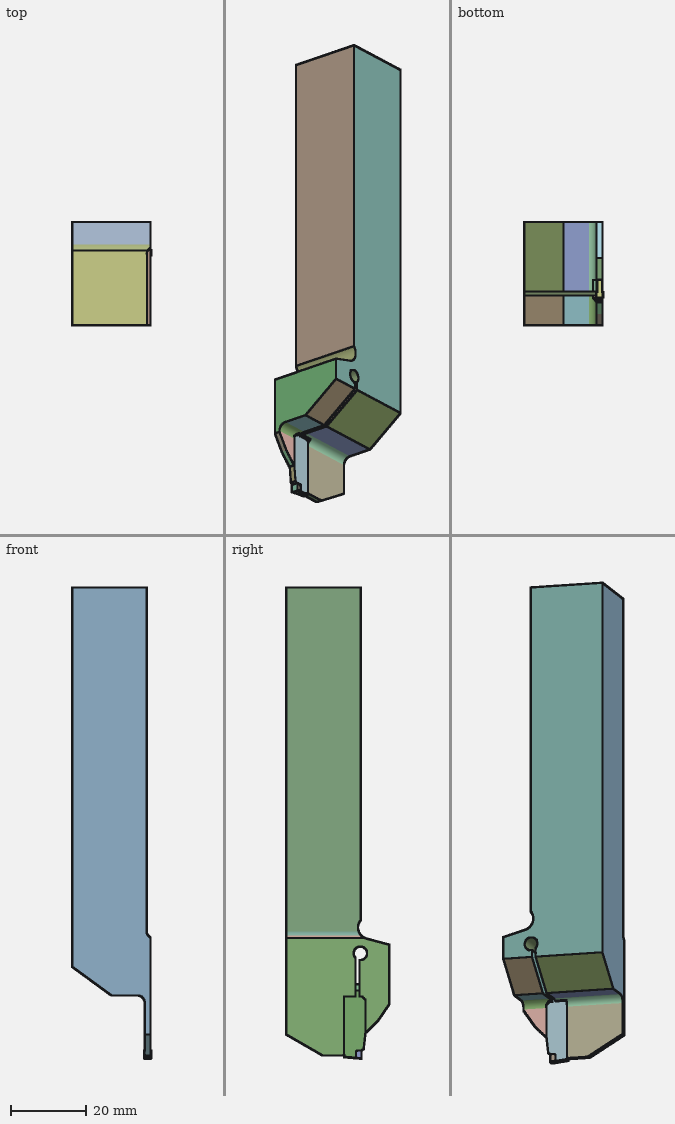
import cadquery as cq
import math

OVERALL_HEIGHT = 125.0
SHANK_SIZE = 19.8
HEAD_DEPTH = 27.4

TIP_WIDTH = 2.0
INSERT_WIDTH = 1.6
TAIL_NECK_WIDTH = 1.2
TIP_OVERHANG = (TIP_WIDTH - INSERT_WIDTH) / 2

BLADE_RIGHT = 20.84
BLADE_LEFT = BLADE_RIGHT - INSERT_WIDTH
BLADE_CENTER = BLADE_RIGHT - INSERT_WIDTH / 2
BLADE_BOTTOM = 0.9
BLADE_ROOT_RADIUS = 2.0

STEP_BOTTOM = 32.1
STEP_RADIUS = 1.5
HEAD_BOTTOM = 16.8
HEAD_SLOPE_TOP = 24.4
HEAD_SLOPE_WIDTH = 10.4

NOTCH_RADIUS = 3.0
NOTCH_UNDERCUT = 0.7
JAW_SLOPE = math.radians(15)
JAW_TOP = 30.3
JAW_BOTTOM = 14.5
JAW_KINK_Y = 24.4
JAW_KINK_Z = 10.1
HEEL_HEIGHT = 6.45
HEEL_SLOPE = math.radians(30)

RELIEF_HOLE_DIAMETER = 3.5
RELIEF_HOLE_Y = 19.7
RELIEF_HOLE_Z = 28.0
SLIT_WIDTH = 1.0
SLIT_CENTER_Y = 18.95

INSERT_FRONT = 15.4
INSERT_BACK = 21.1
INSERT_TOP = 16.5
INSERT_TOP_CHAMFER = 0.9
TAIL_TOP = 19.8
TAIL_NECK_BOTTOM = 18.2
RAKE_TOP = 7.0
RAKE_LEAN = 0.5
LEDGE_HEIGHT = 2.6
LEDGE_DROP = 0.4
TIP_Y = 20.0
TIP_FRONT = 18.5
TIP_CORNER_RADIUS = 0.5
CLEARANCE = math.radians(5)
BOTTOM_CHAMFER = 0.2

SIN_45 = math.sqrt(0.5)

SLIT_FRONT = SLIT_CENTER_Y - SLIT_WIDTH / 2
SLIT_BACK = SLIT_CENTER_Y + SLIT_WIDTH / 2


def extrude_along_x(sketch, left, right):
    """Extrude a closed outline drawn on the YZ plane from X = left to X = right."""
    return sketch.extrude(right - left).translate((left, 0, 0))


def width_profile():
    """Holder seen along Y: shank, head slope and blade."""
    blend_center_x = SHANK_SIZE + STEP_RADIUS
    blend_end_x = blend_center_x - STEP_RADIUS * SIN_45
    blend_end_z = STEP_BOTTOM + BLADE_RIGHT - blend_end_x
    blend_top = blend_end_z + STEP_RADIUS * SIN_45
    blend_half_angle = math.radians(45) / 2
    blend_middle = (
        blend_center_x - STEP_RADIUS * math.cos(blend_half_angle),
        blend_top - STEP_RADIUS * math.sin(blend_half_angle),
    )
    root_left = BLADE_LEFT - BLADE_ROOT_RADIUS
    root_bottom = HEAD_BOTTOM - BLADE_ROOT_RADIUS
    diagonal = BLADE_ROOT_RADIUS * SIN_45
    outline = (
        cq.Workplane("XZ")
        .moveTo(0, OVERALL_HEIGHT)
        .lineTo(SHANK_SIZE, OVERALL_HEIGHT)
        .lineTo(SHANK_SIZE, blend_top)
        .threePointArc(blend_middle, (blend_end_x, blend_end_z))
        .lineTo(BLADE_RIGHT, STEP_BOTTOM)
        .lineTo(BLADE_RIGHT, 0)
        .lineTo(BLADE_LEFT, 0)
        .lineTo(BLADE_LEFT, root_bottom)
        .threePointArc((root_left + diagonal, root_bottom + diagonal), (root_left, HEAD_BOTTOM))
        .lineTo(HEAD_SLOPE_WIDTH, HEAD_BOTTOM)
        .lineTo(0, HEAD_SLOPE_TOP)
        .close()
    )
    return outline.extrude(-HEAD_DEPTH)


def side_profile():
    """Holder seen along X: shank, notch, clamping jaw and heel."""
    notch_y = SHANK_SIZE - NOTCH_UNDERCUT + NOTCH_RADIUS
    tangent_y = notch_y - NOTCH_RADIUS * math.sin(JAW_SLOPE)
    tangent_z = JAW_TOP + (HEAD_DEPTH - tangent_y) * math.tan(JAW_SLOPE)
    notch_z = tangent_z + NOTCH_RADIUS * math.cos(JAW_SLOPE)
    notch_rise = math.sqrt(NOTCH_RADIUS**2 - (notch_y - SHANK_SIZE) ** 2)
    jaw_toe_y = JAW_KINK_Y - (JAW_KINK_Z - BLADE_BOTTOM)
    heel_toe_y = (HEEL_HEIGHT - BLADE_BOTTOM) / math.tan(HEEL_SLOPE)
    outline = (
        cq.Workplane("YZ")
        .moveTo(0, OVERALL_HEIGHT)
        .lineTo(SHANK_SIZE, OVERALL_HEIGHT)
        .lineTo(SHANK_SIZE, notch_z + notch_rise)
        .threePointArc((notch_y - NOTCH_RADIUS, notch_z), (tangent_y, tangent_z))
        .lineTo(HEAD_DEPTH, JAW_TOP)
        .lineTo(HEAD_DEPTH, JAW_BOTTOM)
        .lineTo(JAW_KINK_Y, JAW_KINK_Z)
        .lineTo(jaw_toe_y, BLADE_BOTTOM)
        .lineTo(heel_toe_y, BLADE_BOTTOM)
        .lineTo(0, HEEL_HEIGHT)
        .close()
    )
    return extrude_along_x(outline, 0, BLADE_RIGHT)


def clamping_slit():
    """Slit above the insert, ending in the round relief hole."""
    hole = (
        cq.Workplane("YZ")
        .center(RELIEF_HOLE_Y, RELIEF_HOLE_Z)
        .circle(RELIEF_HOLE_DIAMETER / 2)
    )
    slit = cq.Workplane("YZ").moveTo(SLIT_FRONT, INSERT_TOP).lineTo(SLIT_BACK, INSERT_TOP)
    slit = slit.lineTo(SLIT_BACK, RELIEF_HOLE_Z).lineTo(SLIT_FRONT, RELIEF_HOLE_Z).close()
    return extrude_along_x(hole, 0, BLADE_RIGHT).union(extrude_along_x(slit, 0, BLADE_RIGHT))


def insert_seat():
    """Opening through the blade that the insert body fills."""
    outline = (
        cq.Workplane("YZ")
        .moveTo(INSERT_FRONT, 0)
        .lineTo(INSERT_FRONT, INSERT_TOP)
        .lineTo(INSERT_BACK - INSERT_TOP_CHAMFER, INSERT_TOP)
        .lineTo(INSERT_BACK, INSERT_TOP - INSERT_TOP_CHAMFER)
        .lineTo(INSERT_BACK, RAKE_TOP)
        .lineTo(HEAD_DEPTH, RAKE_TOP)
        .lineTo(HEAD_DEPTH, 0)
        .close()
    )
    return extrude_along_x(outline, 0, BLADE_RIGHT)


def make_holder():
    return width_profile().intersect(side_profile()).cut(insert_seat()).cut(clamping_slit())


def clearance_height(y):
    """Height of the insert underside, which rises forwards from the cutting edge."""
    return (TIP_Y - y) * math.tan(CLEARANCE)


def chamfer_underside(solid):
    """Chamfer the two long edges of the sloping underside."""
    return solid.faces("<Z").edges("not |X").chamfer(BOTTOM_CHAMFER)


def insert_body():
    """Plate that fills the seat, with a tail in the foot of the slit."""
    outline = (
        cq.Workplane("YZ")
        .moveTo(TIP_Y, 0)
        .lineTo(TIP_Y, LEDGE_HEIGHT - LEDGE_DROP)
        .lineTo(INSERT_BACK - RAKE_LEAN, LEDGE_HEIGHT)
        .lineTo(INSERT_BACK, RAKE_TOP)
        .lineTo(INSERT_BACK, INSERT_TOP - INSERT_TOP_CHAMFER)
        .lineTo(INSERT_BACK - INSERT_TOP_CHAMFER, INSERT_TOP)
        .lineTo(SLIT_BACK, INSERT_TOP)
        .lineTo(SLIT_BACK, TAIL_NECK_BOTTOM)
        .lineTo(SLIT_FRONT, TAIL_NECK_BOTTOM)
        .lineTo(SLIT_FRONT, INSERT_TOP)
        .lineTo(INSERT_FRONT, INSERT_TOP)
        .lineTo(INSERT_FRONT, clearance_height(INSERT_FRONT))
        .close()
    )
    return chamfer_underside(extrude_along_x(outline, BLADE_LEFT, BLADE_RIGHT))


def insert_tail_neck():
    """Slightly thinner upper end of the tail."""
    neck_height = TAIL_TOP - TAIL_NECK_BOTTOM
    return cq.Workplane("XY").box(
        TAIL_NECK_WIDTH, SLIT_WIDTH, neck_height, centered=(True, True, False)
    ).translate((BLADE_CENTER, SLIT_CENTER_Y, TAIL_NECK_BOTTOM))


def insert_tip():
    """Cutting tip, wider than the insert body on both sides."""
    tip_top = LEDGE_HEIGHT - LEDGE_DROP
    diagonal = TIP_CORNER_RADIUS * SIN_45
    corner_y = TIP_FRONT + TIP_CORNER_RADIUS
    corner_z = tip_top - TIP_CORNER_RADIUS
    outline = (
        cq.Workplane("YZ")
        .moveTo(TIP_Y, 0)
        .lineTo(TIP_Y, tip_top)
        .lineTo(corner_y, tip_top)
        .threePointArc((corner_y - diagonal, corner_z + diagonal), (TIP_FRONT, corner_z))
        .lineTo(TIP_FRONT, clearance_height(TIP_FRONT))
        .close()
    )
    tip = extrude_along_x(outline, BLADE_LEFT - TIP_OVERHANG, BLADE_RIGHT + TIP_OVERHANG)
    return chamfer_underside(tip)


def make_insert():
    return insert_body().union(insert_tail_neck()).union(insert_tip())


holder = make_holder()
insert = make_insert()

result = cq.Compound.makeCompound([holder.solids().val(), insert.solids().val()])